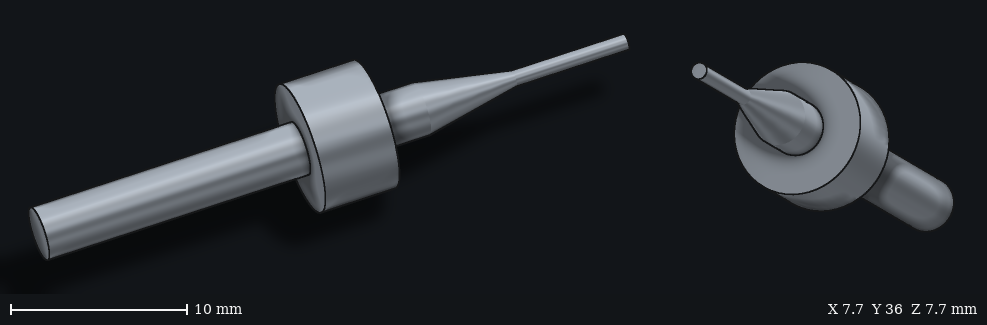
import cadquery as cq

total_length = 36.0
shank_diameter = 3.17
collar_diameter = 7.7
tip_diameter = 0.97

shank_length = 16.0
collar_length = 4.55
neck_length = 2.85
taper_length = 5.7

shank_start = 0.0
collar_start = shank_start + shank_length
neck_start = collar_start + collar_length
taper_start = neck_start + neck_length
tip_start = taper_start + taper_length
tip_length = shank_start + total_length - tip_start

y_axis = cq.Vector(0, 1, 0)


def cylinder(start_y, length, diameter):
    """Solid cylinder on the Y axis, running from start_y toward +Y."""
    start = cq.Vector(0, start_y, 0)
    return cq.Workplane(cq.Solid.makeCylinder(diameter / 2, length, start, y_axis))


def cone(start_y, length, start_diameter, end_diameter):
    """Solid truncated cone on the Y axis, running from start_y toward +Y."""
    start = cq.Vector(0, start_y, 0)
    return cq.Workplane(cq.Solid.makeCone(start_diameter / 2, end_diameter / 2, length, start, y_axis))


shank = cylinder(shank_start, shank_length, shank_diameter)
collar = cylinder(collar_start, collar_length, collar_diameter)
neck = cylinder(neck_start, neck_length, shank_diameter)
taper = cone(taper_start, taper_length, shank_diameter, tip_diameter)
tip = cylinder(tip_start, tip_length, tip_diameter)

result = shank.union(collar).union(neck).union(taper).union(tip)